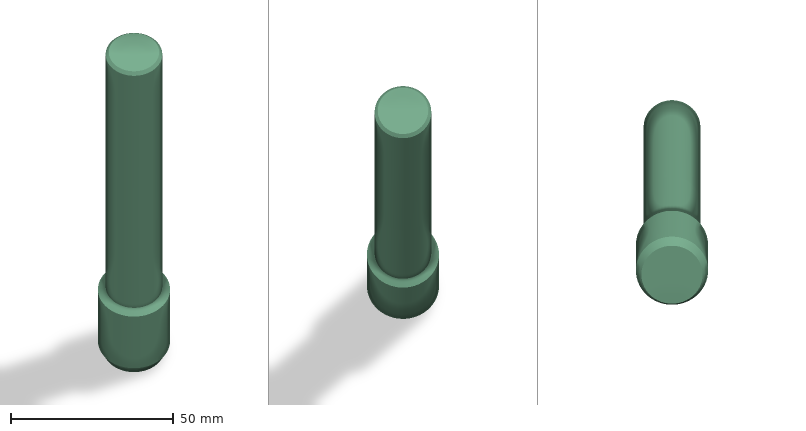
import cadquery as cq

TOTAL_LENGTH = 140.0
ROD_DIAMETER = 17.5
ROD_TIP_CHAMFER = 1.0

HEAD_DIAMETER = 22.3
HEAD_LENGTH = 29.5
SHOULDER_HEIGHT = 1.4
HEAD_BOTTOM_CHAMFER_WIDTH = 1.7
HEAD_BOTTOM_CHAMFER_HEIGHT = 3.8

JOINT_HEIGHT = 67.2

ROD_RADIUS = ROD_DIAMETER / 2
HEAD_RADIUS = HEAD_DIAMETER / 2


def make_upper_rod():
    """Plain cylinder from the joint upward, chamfered at its free end."""
    return (
        cq.Workplane("XY")
        .workplane(offset=JOINT_HEIGHT)
        .circle(ROD_RADIUS)
        .extrude(TOTAL_LENGTH - JOINT_HEIGHT)
        .faces(">Z")
        .edges()
        .chamfer(ROD_TIP_CHAMFER)
    )


def make_headed_shank():
    """Turned shank whose head tapers at the bottom and slopes in to the shank at the top."""
    half_profile = [
        (0, 0),
        (HEAD_RADIUS - HEAD_BOTTOM_CHAMFER_WIDTH, 0),
        (HEAD_RADIUS, HEAD_BOTTOM_CHAMFER_HEIGHT),
        (HEAD_RADIUS, HEAD_LENGTH - SHOULDER_HEIGHT),
        (ROD_RADIUS, HEAD_LENGTH),
        (ROD_RADIUS, JOINT_HEIGHT),
        (0, JOINT_HEIGHT),
    ]
    return cq.Workplane("XZ").polyline(half_profile).close().revolve(360, (0, 0), (0, 1))


upper_rod = make_upper_rod()
headed_shank = make_headed_shank()

result = cq.Compound.makeCompound([upper_rod.val(), headed_shank.val()])